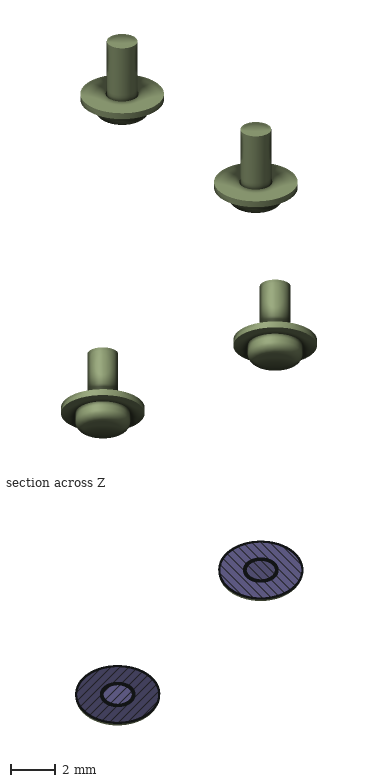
import cadquery as cq

shank_diameter = 1.4
shank_length = 3.0
head_diameter = 2.5
head_height = 0.8
head_edge_radius = 0.4

washer_diameter = 3.8
washer_thickness = 0.3
shank_clearance = 0.05
washer_bore_diameter = shank_diameter + 2 * shank_clearance

screw_spacing = 10.5
screw_positions = [-screw_spacing / 2, screw_spacing / 2]


def make_screw(x):
    """Screw pointing up, with the bearing face of its head at Z = 0."""
    head = (
        cq.Workplane("XY")
        .circle(head_diameter / 2)
        .extrude(-head_height)
        .faces("<Z")
        .edges()
        .fillet(head_edge_radius)
    )
    shank = cq.Workplane("XY").circle(shank_diameter / 2).extrude(shank_length)
    return head.union(shank).translate((x, 0, 0))


def make_washer(x):
    """Flat washer resting on the bearing face of the screw head."""
    return (
        cq.Workplane("XY")
        .center(x, 0)
        .circle(washer_diameter / 2)
        .circle(washer_bore_diameter / 2)
        .extrude(washer_thickness)
    )


screws = [make_screw(x) for x in screw_positions]
washers = [make_washer(x) for x in screw_positions]

result = cq.Compound.makeCompound([body.solids().val() for body in screws + washers])